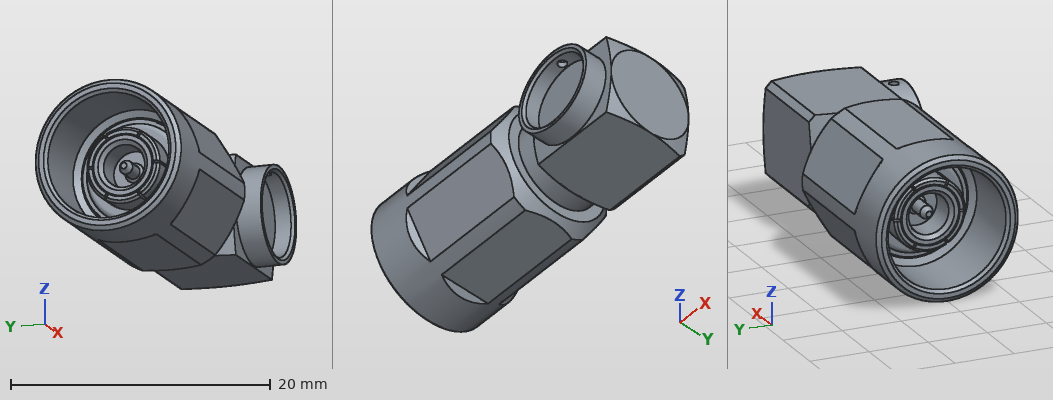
import cadquery as cq
import math


TOTAL_LENGTH = 25.7

NUT_DIAMETER = 12.0
NUT_RADIUS = NUT_DIAMETER / 2
NUT_LENGTH = 15.0
NUT_REAR_CHAMFER = 1.0
NUT_FRONT_RIM_RADIUS = 5.65
NUT_FRONT_CHAMFER_LENGTH = 0.25
FLAT_COUNT = 6
FLAT_APOTHEM = 5.5
FLAT_START = 4.37

MOUTH_RADIUS = 5.25
MOUTH_CHAMFER = 0.25
BORE_RADIUS = MOUTH_RADIUS - MOUTH_CHAMFER
BORE_DEPTH = 5.7
SEAT_RADIUS = 4.42
SEAT_CONE_LENGTH = 0.33
SEAT_DEPTH = BORE_DEPTH + SEAT_CONE_LENGTH
SEAT_GROOVE_DEPTH = 0.51

BODY_RADIUS = 4.32
SHOULDER_RADIUS = 3.95
SHOULDER_ROUND = 0.4

TUBE_TIP = 3.35
TUBE_RADIUS = 3.0
TUBE_CHAMFER = 0.2
TUBE_INNER_RADIUS = 2.5
SLOT_COUNT = 6
SLOT_WIDTH = 0.18
SLOT_DEPTH = 2.05
INSULATOR_RADIUS = 2.42
INSULATOR_GAP_DEPTH = 0.1
INSULATOR_MOUTH_RADIUS = 2.03
INSULATOR_BORE_RADIUS = 1.7
INSULATOR_BORE_DEPTH = 2.57

PIN_TIP = 3.6
PIN_TIP_RADIUS = 0.245
PIN_RADIUS = 0.55
PIN_CONE_LENGTH = 0.51
PIN_BASE_RADIUS = 0.77
PIN_BASE_CONE_LENGTH = PIN_BASE_RADIUS - PIN_RADIUS

BLOCK_SIDE = 8.02
BLOCK_START = 16.73
BLOCK_CORNER_CUT = 0.57
BLOCK_BACK_CHAMFER = 0.51

SLEEVE_X = 21.2
SLEEVE_REACH = 6.05
SLEEVE_RADIUS = 3.88
SLEEVE_MOUTH_RADIUS = 3.55
SLEEVE_BORE_RADIUS = 3.32
SLEEVE_BORE_DEPTH = 1.55
VENT_RADIUS = 0.39
VENT_Y = -5.0


def turned(outline):
    """Solid of revolution about X from (x, radius) points."""
    profile = cq.Workplane("XY").polyline(outline).close()
    return profile.revolve(360, (0, 0, 0), (1, 0, 0))


def cylinder_x(start, end, radius):
    return cq.Workplane("YZ").workplane(offset=start).circle(radius).extrude(end - start)


def nut_blank():
    return turned([
        (0, 0),
        (0, NUT_FRONT_RIM_RADIUS),
        (NUT_FRONT_CHAMFER_LENGTH, NUT_RADIUS),
        (NUT_LENGTH - NUT_REAR_CHAMFER, NUT_RADIUS),
        (NUT_LENGTH, NUT_RADIUS - NUT_REAR_CHAMFER),
        (NUT_LENGTH, 0),
    ])


def flat_cutter():
    """Stock above the top flat; its front end slopes outwards at 45 degrees."""
    height = 2 * (NUT_RADIUS - FLAT_APOTHEM)
    return (
        cq.Workplane("XZ")
        .polyline([
            (FLAT_START, FLAT_APOTHEM),
            (NUT_LENGTH, FLAT_APOTHEM),
            (NUT_LENGTH, FLAT_APOTHEM + height),
            (FLAT_START - height, FLAT_APOTHEM + height),
        ])
        .close()
        .extrude(NUT_RADIUS, both=True)
    )


def nut_bore():
    return turned([
        (0, 0),
        (0, MOUTH_RADIUS),
        (MOUTH_CHAMFER, BORE_RADIUS),
        (BORE_DEPTH, BORE_RADIUS),
        (SEAT_DEPTH, SEAT_RADIUS),
        (SEAT_DEPTH + SEAT_GROOVE_DEPTH, SEAT_RADIUS),
        (SEAT_DEPTH + SEAT_GROOVE_DEPTH, 0),
    ])


def coupling_nut():
    nut = nut_blank()
    for index in range(FLAT_COUNT):
        angle = index * 360 / FLAT_COUNT
        nut = nut.cut(flat_cutter().rotate((0, 0, 0), (1, 0, 0), angle))
    return nut.cut(nut_bore())


def inner_body():
    base_end = SEAT_DEPTH + SEAT_GROOVE_DEPTH
    base = cylinder_x(SEAT_DEPTH, base_end, BODY_RADIUS)
    shoulder = cylinder_x(SEAT_DEPTH - SHOULDER_ROUND, base_end, SHOULDER_RADIUS)
    shoulder = shoulder.faces("<X").edges().fillet(SHOULDER_ROUND)
    tube = cylinder_x(TUBE_TIP, base_end, TUBE_RADIUS).faces("<X").chamfer(TUBE_CHAMFER)
    body = base.union(shoulder).union(tube)

    gap_end = TUBE_TIP + INSULATOR_GAP_DEPTH
    gap = cylinder_x(TUBE_TIP, gap_end, TUBE_INNER_RADIUS)
    gap = gap.cut(cylinder_x(TUBE_TIP, gap_end, INSULATOR_RADIUS))
    body = body.cut(gap)
    for index in range(SLOT_COUNT):
        slot = (
            cq.Workplane("XY")
            .box(SLOT_DEPTH, TUBE_RADIUS - INSULATOR_RADIUS, SLOT_WIDTH, centered=(False, False, True))
            .translate((TUBE_TIP, INSULATOR_RADIUS, 0))
            .rotate((0, 0, 0), (1, 0, 0), index * 360 / SLOT_COUNT)
        )
        body = body.cut(slot)

    mouth_depth = INSULATOR_MOUTH_RADIUS - INSULATOR_BORE_RADIUS
    insulator_bore = turned([
        (TUBE_TIP, 0),
        (TUBE_TIP, INSULATOR_MOUTH_RADIUS),
        (TUBE_TIP + mouth_depth, INSULATOR_BORE_RADIUS),
        (TUBE_TIP + INSULATOR_BORE_DEPTH, INSULATOR_BORE_RADIUS),
        (TUBE_TIP + INSULATOR_BORE_DEPTH, 0),
    ])
    return body.cut(insulator_bore)


def centre_pin():
    base = TUBE_TIP + INSULATOR_BORE_DEPTH
    return turned([
        (PIN_TIP, 0),
        (PIN_TIP, PIN_TIP_RADIUS),
        (PIN_TIP + PIN_CONE_LENGTH, PIN_RADIUS),
        (base - PIN_BASE_CONE_LENGTH, PIN_RADIUS),
        (base, PIN_BASE_RADIUS),
        (base, 0),
    ])


def elbow_block():
    half = BLOCK_SIDE / 2
    corner_radius = half * math.sqrt(2)
    block = (
        cq.Workplane("YZ")
        .workplane(offset=BLOCK_START)
        .rect(BLOCK_SIDE, BLOCK_SIDE)
        .extrude(TOTAL_LENGTH - BLOCK_START)
        .edges("|X and >Y")
        .chamfer(BLOCK_BACK_CHAMFER)
    )
    envelope = turned([
        (BLOCK_START, 0),
        (BLOCK_START, half),
        (BLOCK_START + BLOCK_CORNER_CUT, corner_radius),
        (TOTAL_LENGTH - BLOCK_CORNER_CUT, corner_radius),
        (TOTAL_LENGTH, half),
        (TOTAL_LENGTH, 0),
    ])
    return block.intersect(envelope)


def add_sleeve(part):
    sleeve_end = cq.Workplane("XZ", origin=(SLEEVE_X, -SLEEVE_REACH, 0))
    sleeve = sleeve_end.circle(SLEEVE_RADIUS).extrude(-SLEEVE_REACH)
    bore = sleeve_end.circle(SLEEVE_BORE_RADIUS).extrude(-SLEEVE_BORE_DEPTH)
    vent = cq.Workplane("XY", origin=(SLEEVE_X, VENT_Y, 0)).circle(VENT_RADIUS).extrude(SLEEVE_RADIUS)
    sleeve = sleeve.cut(bore).cut(vent)
    bore_rim = sleeve.faces("<Y").edges(cq.selectors.RadiusNthSelector(0))
    sleeve = bore_rim.chamfer(SLEEVE_MOUTH_RADIUS - SLEEVE_BORE_RADIUS)
    return part.union(sleeve)


neck = cylinder_x(NUT_LENGTH, BLOCK_START, BLOCK_SIDE / 2)
connector = coupling_nut().union(inner_body()).union(centre_pin())
connector = connector.union(neck).union(elbow_block())
result = add_sleeve(connector)